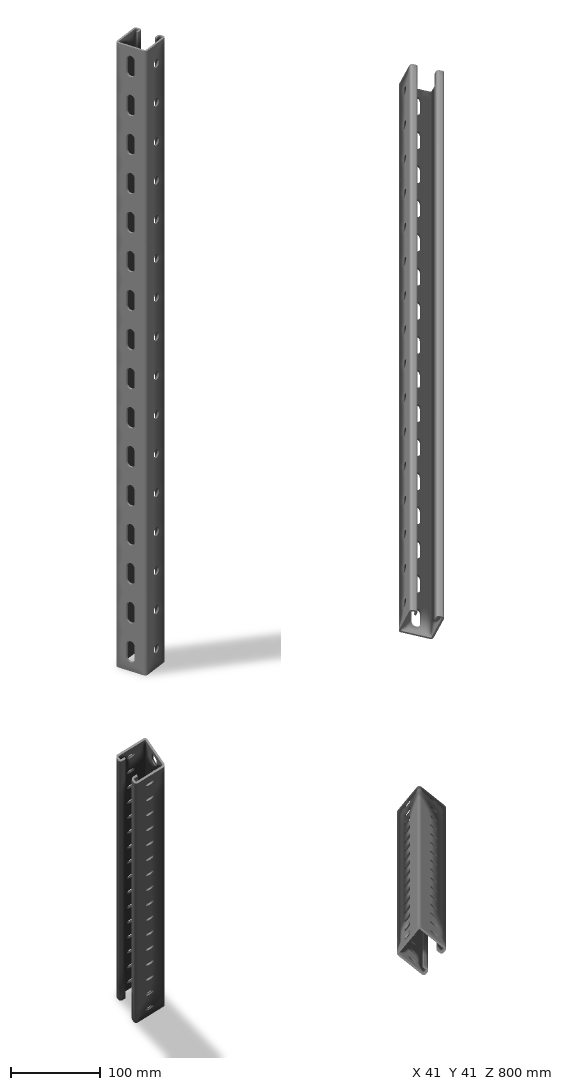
import cadquery as cq

WIDTH = 41.0
DEPTH = 41.0
LENGTH = 800.0
WALL = 2.5
BEND_INNER_RADIUS = 1.0
MOUTH_WIDTH = 22.0
LIP_DEPTH = 8.0

PITCH = 50.0
SLOT_WIDTH = 10.5
SLOT_LENGTH = 27.0
SIDE_HOLE_DIAMETER = 10.5
SIDE_HOLE_OFFSET = 1.0

BEND_OUTER_RADIUS = BEND_INNER_RADIUS + WALL
HALF_WIDTH = WIDTH / 2
HALF_DEPTH = DEPTH / 2
HALF_MOUTH = MOUTH_WIDTH / 2
PERFORATION_COUNT = int(LENGTH / PITCH)
PERFORATION_HEIGHTS = [(i + 0.5) * PITCH - LENGTH / 2 for i in range(PERFORATION_COUNT)]


def box_between(x_min, x_max, y_min, y_max):
    """Full-length bar centred on Z with the given X and Y limits."""
    return (
        cq.Workplane("XY")
        .box(x_max - x_min, y_max - y_min, LENGTH)
        .translate(((x_min + x_max) / 2, (y_min + y_max) / 2, 0))
    )


def rounded_bar(x_min, x_max, y_min, y_max, radius):
    """Full-length bar with its four long edges rounded."""
    return box_between(x_min, x_max, y_min, y_max).edges("|Z").fillet(radius)


def lip(side):
    """Inward-turned edge of one flange; side is +1 or -1 along X."""
    inner_x = side * HALF_MOUTH
    outer_x = side * (HALF_MOUTH + WALL)
    flange_y = HALF_DEPTH - WALL
    bend_y = HALF_DEPTH - BEND_OUTER_RADIUS
    bend_x = side * (HALF_MOUTH + BEND_OUTER_RADIUS)
    tip_y = HALF_DEPTH - LIP_DEPTH
    flange_end_x = side * (HALF_WIDTH - BEND_OUTER_RADIUS)
    outline = (
        cq.Workplane("XY", origin=(0, 0, -LENGTH / 2))
        .moveTo(flange_end_x, HALF_DEPTH)
        .lineTo(bend_x, HALF_DEPTH)
        .radiusArc((inner_x, bend_y), -side * BEND_OUTER_RADIUS)
        .lineTo(inner_x, tip_y)
        .lineTo(outer_x, tip_y)
        .lineTo(outer_x, bend_y)
        .radiusArc((bend_x, flange_y), side * BEND_INNER_RADIUS)
        .lineTo(flange_end_x, flange_y)
        .close()
    )
    return outline.extrude(LENGTH)


def channel():
    """Bent-sheet C profile: back at -Y, mouth with two lips at +Y."""
    outer = rounded_bar(-HALF_WIDTH, HALF_WIDTH, -HALF_DEPTH, HALF_DEPTH, BEND_OUTER_RADIUS)
    inner = rounded_bar(
        WALL - HALF_WIDTH, HALF_WIDTH - WALL, WALL - HALF_DEPTH, HALF_DEPTH - WALL, BEND_INNER_RADIUS
    )
    mouth_half = HALF_MOUTH + BEND_OUTER_RADIUS
    mouth = box_between(-mouth_half, mouth_half, 0, HALF_DEPTH)
    return outer.cut(inner).cut(mouth).union(lip(1)).union(lip(-1))


def back_slots():
    """Row of lengthwise slots through the back."""
    return (
        cq.Workplane("XZ", origin=(0, -HALF_DEPTH + BEND_OUTER_RADIUS, 0))
        .pushPoints([(0, z) for z in PERFORATION_HEIGHTS])
        .slot2D(SLOT_LENGTH, SLOT_WIDTH, 90)
        .extrude(BEND_OUTER_RADIUS)
    )


def side_holes():
    """Row of round holes passing through both side walls."""
    return (
        cq.Workplane("YZ")
        .pushPoints([(SIDE_HOLE_OFFSET, z) for z in PERFORATION_HEIGHTS])
        .circle(SIDE_HOLE_DIAMETER / 2)
        .extrude(HALF_WIDTH, both=True)
    )


result = channel().cut(back_slots()).cut(side_holes())